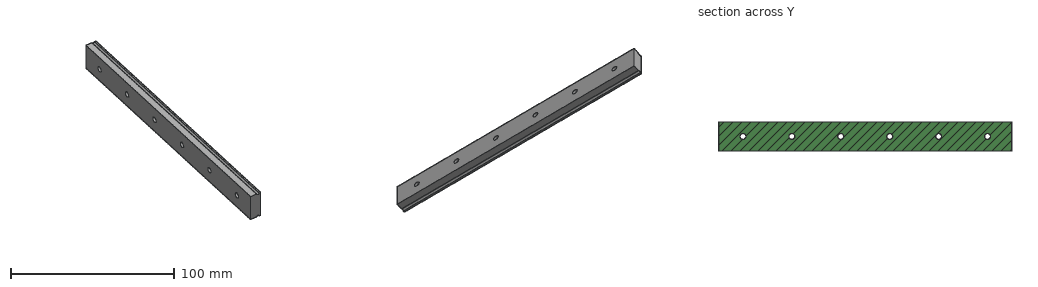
import cadquery as cq

length = 180.0
thickness = 7.5
height = 18.0

groove_width = 1.8
groove_depth = 0.8
groove_flank_radius = 0.9
groove_offset = 2.05

hole_diameter = 3.5
hole_count = 6
hole_pitch = length / hole_count


def make_body():
    return cq.Workplane("XY").box(length, thickness, height)


def make_top_groove():
    """Cutter whose two concave flanks meet in a line at the groove bottom."""
    centre_y = thickness / 2 - groove_offset
    top_z = height / 2
    front_lip = (centre_y - groove_width / 2, top_z)
    bottom = (centre_y, top_z - groove_depth)
    back_lip = (centre_y + groove_width / 2, top_z)
    return (
        cq.Workplane("YZ")
        .moveTo(*front_lip)
        .radiusArc(bottom, -groove_flank_radius)
        .radiusArc(back_lip, -groove_flank_radius)
        .close()
        .extrude(length / 2, both=True)
    )


def make_holes():
    """Row of cylinders that runs through the full thickness."""
    return (
        cq.Workplane("XZ")
        .rarray(hole_pitch, 1, hole_count, 1)
        .circle(hole_diameter / 2)
        .extrude(thickness, both=True)
    )


top_groove = make_top_groove()
bottom_groove = top_groove.mirror("XY")
result = make_body().cut(make_holes()).cut(top_groove).cut(bottom_groove)